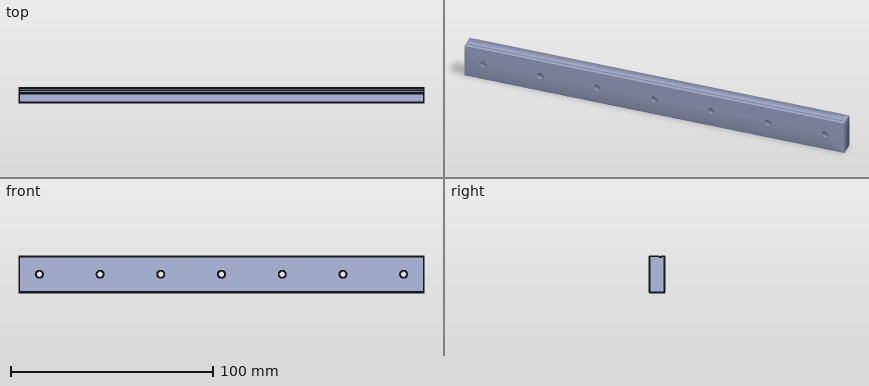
import cadquery as cq

length = 200.0
thickness = 7.5
height = 18.0
edge_chamfer = 0.3

hole_count = 7
hole_pitch = 30.0
hole_diameter = 3.5

groove_width = 1.8
groove_back_run = 1.25
groove_depth = 0.55
groove_from_back = 1.2


def strip():
    bar = cq.Workplane("XY").box(length, thickness, height)
    return bar.edges("|X").chamfer(edge_chamfer)


def holes():
    return (
        cq.Workplane("XZ")
        .rarray(hole_pitch, 2, hole_count, 1)
        .circle(hole_diameter / 2)
        .extrude(thickness / 2, both=True)
    )


def groove():
    top = height / 2
    back_edge = thickness / 2 - groove_from_back
    front_edge = back_edge - groove_width
    return (
        cq.Workplane("YZ")
        .moveTo(back_edge, top)
        .lineTo(back_edge - groove_back_run, top - groove_depth)
        .lineTo(front_edge, top)
        .close()
        .extrude(length / 2, both=True)
    )


result = strip().cut(holes()).cut(groove())